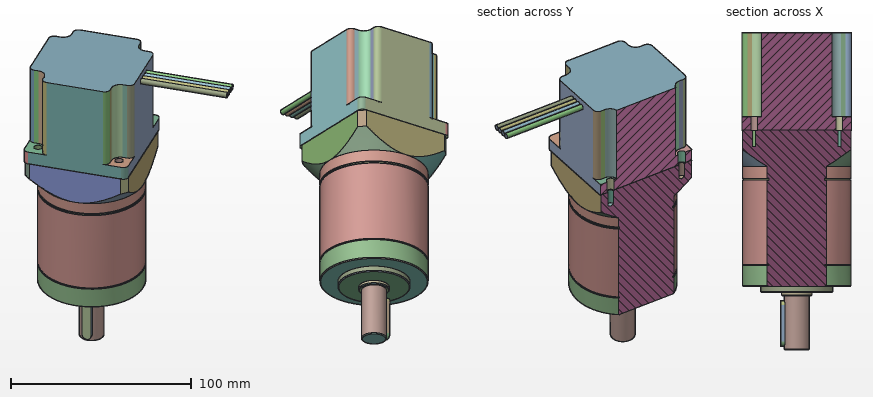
import cadquery as cq
import math

TOTAL_HEIGHT = 175.5

MOTOR_SIDE = 60.5
MOTOR_BOTTOM_Z = 121.5
FLANGE_TOP_Z = 129.0
FLANGE_CORNER_RADIUS = 3.2
NOTCH_SIDE = 10.7
NOTCH_INNER_RADIUS = 5.0
NOTCH_OUTER_RADIUS = 3.2

SCREW_PITCH = 47.0
CLEARANCE_DIAMETER = 4.5
TAPPED_DIAMETER = 3.3
TAPPED_DEPTH = 8.8
DRILL_POINT_ANGLE = 118.0

WIRE_COUNT = 4
WIRE_DIAMETER = 3.2
WIRE_ROW_WIDTH = 12.5
WIRE_PITCH = (WIRE_ROW_WIDTH - WIRE_DIAMETER) / (WIRE_COUNT - 1)
WIRE_LENGTH = 50.0
WIRE_DROP = 5.0

GEARBOX_DIAMETER = 60.0
HEAD_CORNER_DIAMETER = 80.0
TAPER_BOTTOM_Z = 101.6
HOUSING_BOTTOM_Z = 35.1
HOUSING_CHAMFER = 0.5
GROOVE_DEPTH = 0.5
UPPER_GROOVE_Z = 94.5
UPPER_GROOVE_WIDTH = 1.0
LOWER_GROOVE_Z = 47.0
LOWER_GROOVE_WIDTH = 0.5

PILOT_DIAMETER = 40.0
PILOT_BOTTOM_Z = 32.0
PILOT_CHAMFER = 0.5
SHOULDER_DIAMETER = 17.0
SHOULDER_BOTTOM_Z = 30.0
SHOULDER_CHAMFER = 0.5
SHAFT_DIAMETER = 13.9
SHAFT_CHAMFER = 0.5

KEY_WIDTH = 5.3
KEY_LENGTH = 25.3
KEY_BOTTOM_Z = 2.1
KEY_REACH = 9.0


def cylinder(diameter, bottom_z, top_z):
    """Cylinder on the common axis between two heights."""
    return cq.Workplane("XY").workplane(offset=bottom_z).circle(diameter / 2).extrude(top_z - bottom_z)


def square_block(side, bottom_z, top_z):
    """Square block on the common axis between two heights."""
    return cq.Workplane("XY").workplane(offset=bottom_z).rect(side, side).extrude(top_z - bottom_z)


def at_screws(z):
    """Workplane at a height with a point on each of the four screw axes."""
    plane = cq.Workplane("XY").workplane(offset=z)
    return plane.rect(SCREW_PITCH, SCREW_PITCH, forConstruction=True).vertices()


def motor_body():
    """Motor body with a rounded notch down each of its four corners."""
    height = TOTAL_HEIGHT - FLANGE_TOP_Z
    base = cq.Workplane("XY").workplane(offset=FLANGE_TOP_Z)
    arm_width = MOTOR_SIDE - 2 * NOTCH_SIDE
    arm_x = base.rect(MOTOR_SIDE, arm_width).extrude(height).edges("|Z").fillet(NOTCH_OUTER_RADIUS)
    arm_y = base.rect(arm_width, MOTOR_SIDE).extrude(height).edges("|Z").fillet(NOTCH_OUTER_RADIUS)
    core_half = MOTOR_SIDE / 2 - NOTCH_SIDE / 2
    core = cq.selectors.BoxSelector(
        (-core_half, -core_half, FLANGE_TOP_Z), (core_half, core_half, TOTAL_HEIGHT)
    )
    return arm_x.union(arm_y).edges("|Z").edges(core).fillet(NOTCH_INNER_RADIUS)


def motor_flange():
    """Square flange with rounded corners and a clearance hole at each screw."""
    flange = square_block(MOTOR_SIDE, MOTOR_BOTTOM_Z, FLANGE_TOP_Z).edges("|Z").fillet(FLANGE_CORNER_RADIUS)
    holes = at_screws(MOTOR_BOTTOM_Z).circle(CLEARANCE_DIAMETER / 2).extrude(FLANGE_TOP_Z - MOTOR_BOTTOM_Z)
    return flange.cut(holes)


def motor_wire(y):
    """One lead running out of the +X face of the motor."""
    face = cq.Workplane("YZ").workplane(offset=MOTOR_SIDE / 2)
    return face.center(y, TOTAL_HEIGHT - WIRE_DROP).circle(WIRE_DIAMETER / 2).extrude(WIRE_LENGTH)


def make_motor():
    """Motor with its flange and leads."""
    motor = motor_flange().union(motor_body())
    for index in range(WIRE_COUNT):
        motor = motor.union(motor_wire((index - (WIRE_COUNT - 1) / 2) * WIRE_PITCH))
    return motor


def gearbox_head():
    """Square head trimmed by a larger cylinder and by a 45 degree taper down to the round housing."""
    corner_radius = HEAD_CORNER_DIAMETER / 2
    neck_radius = GEARBOX_DIAMETER / 2
    taper_top_z = TAPER_BOTTOM_Z + corner_radius - neck_radius
    turned = (
        cq.Workplane("XZ")
        .moveTo(0, TAPER_BOTTOM_Z)
        .lineTo(neck_radius, TAPER_BOTTOM_Z)
        .lineTo(corner_radius, taper_top_z)
        .lineTo(corner_radius, MOTOR_BOTTOM_Z)
        .lineTo(0, MOTOR_BOTTOM_Z)
        .close()
        .revolve()
    )
    return turned.intersect(square_block(GEARBOX_DIAMETER, TAPER_BOTTOM_Z, MOTOR_BOTTOM_Z))


def groove(centre_z, width):
    """Ring that cuts a shallow groove around the housing."""
    bottom_z = centre_z - width / 2
    top_z = centre_z + width / 2
    floor_diameter = GEARBOX_DIAMETER - 2 * GROOVE_DEPTH
    return cylinder(HEAD_CORNER_DIAMETER, bottom_z, top_z).cut(cylinder(floor_diameter, bottom_z, top_z))


def gearbox_housing():
    """Round housing with two grooves and a chamfered bottom edge."""
    housing = cylinder(GEARBOX_DIAMETER, HOUSING_BOTTOM_Z, TAPER_BOTTOM_Z)
    housing = housing.faces("<Z").edges().chamfer(HOUSING_CHAMFER)
    housing = housing.cut(groove(UPPER_GROOVE_Z, UPPER_GROOVE_WIDTH))
    return housing.cut(groove(LOWER_GROOVE_Z, LOWER_GROOVE_WIDTH))


def output_end():
    """Pilot boss, shoulder and output shaft, each with a chamfered lower edge."""
    pilot = cylinder(PILOT_DIAMETER, PILOT_BOTTOM_Z, HOUSING_BOTTOM_Z)
    shoulder = cylinder(SHOULDER_DIAMETER, SHOULDER_BOTTOM_Z, PILOT_BOTTOM_Z)
    shaft = cylinder(SHAFT_DIAMETER, 0, SHOULDER_BOTTOM_Z)
    pilot = pilot.faces("<Z").edges().chamfer(PILOT_CHAMFER)
    shoulder = shoulder.faces("<Z").edges().chamfer(SHOULDER_CHAMFER)
    shaft = shaft.faces("<Z").edges().chamfer(SHAFT_CHAMFER)
    return pilot.union(shoulder).union(shaft)


def shaft_key():
    """Round-ended key standing out of the -Y side of the shaft."""
    return (
        cq.Workplane("XZ")
        .center(0, KEY_BOTTOM_Z + KEY_LENGTH / 2)
        .slot2D(KEY_LENGTH, KEY_WIDTH, 90)
        .extrude(KEY_REACH)
    )


def tapped_holes():
    """Blind screw holes with conical drill points, opening on the top of the head."""
    radius = TAPPED_DIAMETER / 2
    point_length = radius / math.tan(math.radians(DRILL_POINT_ANGLE / 2))
    hole = cq.Solid.makeCylinder(radius, TAPPED_DEPTH, cq.Vector(0, 0, -TAPPED_DEPTH))
    point = cq.Solid.makeCone(radius, 0, point_length, cq.Vector(0, 0, -TAPPED_DEPTH), cq.Vector(0, 0, -1))
    drill = hole.fuse(point)
    return at_screws(MOTOR_BOTTOM_Z).eachpoint(lambda place: drill.moved(place))


def make_gearbox():
    """Gearbox with its output shaft and key."""
    gearbox = gearbox_head().union(gearbox_housing()).union(output_end()).union(shaft_key())
    return gearbox.cut(tapped_holes())


motor = make_motor()
gearbox = make_gearbox()
result = cq.Compound.makeCompound([motor.val(), gearbox.val()])